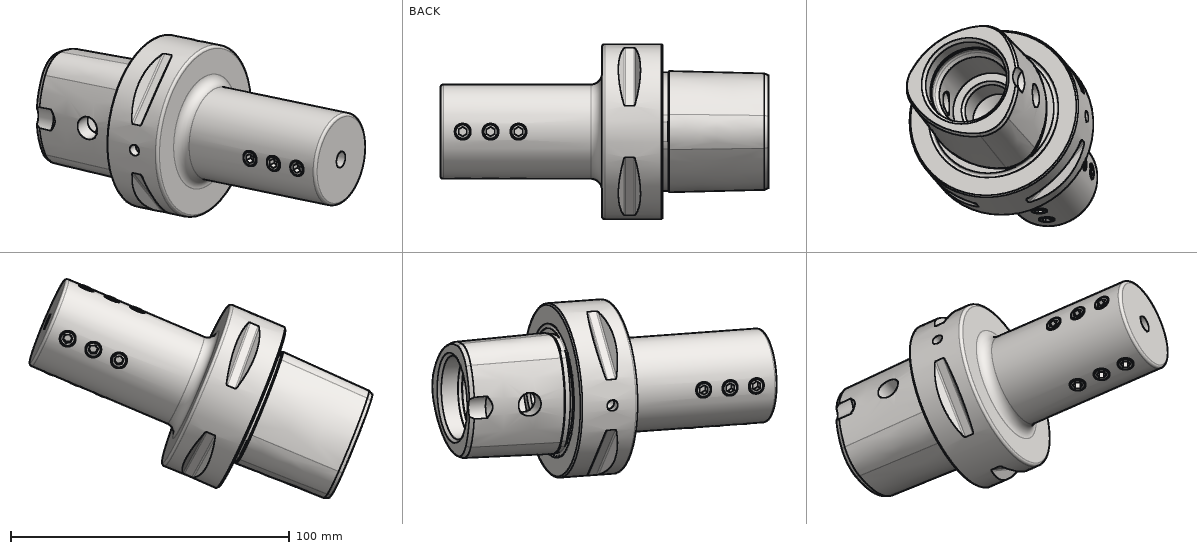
import cadquery as cq
import math


TOTAL_LENGTH = 118.0
FLANGE_START = 38.0
FLANGE_WIDTH = 22.0
FLANGE_END = FLANGE_START + FLANGE_WIDTH

POLYGON_RADIUS = 21.8
POLYGON_ECCENTRICITY = 1.4
TAPER_SLOPE = 1 / 40
TAPER_END = 35.6
SHANK_CHAMFER_LENGTH = 1.7
SHANK_CHAMFER_DEPTH = 0.7
NECK_STEP = 0.5
HALF_ARC_ANGLE = 30
LOBE_DIRECTIONS = (0, 120, 240)

FLANGE_RADIUS = 31.5
FLANGE_CHAMFER = 0.6
FLANGE_EDGE_FILLET = 1.1

RELIEF_START = 36.3
RELIEF_INNER_RADIUS = 22.5
RELIEF_OUTER_RADIUS = 24.2
RELIEF_ROUND_RADIUS = (RELIEF_OUTER_RADIUS - RELIEF_INNER_RADIUS) / 2

BARREL_RADIUS = 17.0
BARREL_ROOT_FILLET = 4.0
BARREL_EDGE_FILLET = 1.1

MOUTH_CHAMFER = 1.2
MOUTH_RADIUS = 15.1
BORE_GROOVE_START = 7.5
BORE_GROOVE_END = 9.2
BORE_GROOVE_DEPTH = 0.6
SHOULDER_X = 11.3
SHOULDER_ANGLE = 45
SHOULDER_FILLET = 1.7
CAVITY_RADIUS = 13.3
CAVITY_END = 31.9
DRAWBAR_RADIUS = 9.2
DRAWBAR_CHAMFER = 1.1
DRAWBAR_END = 43.7
COOLANT_RADIUS = 3.0

DRILL_HALF_ANGLE = 59
CROSS_HOLE_X = 22.5
CROSS_HOLE_RADIUS = 4.2
CROSS_HOLE_END_Y = CAVITY_RADIUS
NOTCH_RADIUS = 5.7
NOTCH_INNER_REACH = 17.7
NOTCH_LENGTH = 6.5
NOTCH_TIP_HALF_ANGLE = 45
FLANGE_FEATURE_X = FLANGE_START + 12.0
FLANGE_HOLE_RADIUS = 2.0
FLANGE_HOLE_DEPTH = 4.0
SLOT_FLOOR_DISTANCE = 27.8
SLOT_FLOOR_WIDTH = 3.8
SLOT_WALL_ANGLE = 30
SLOT_CORNER_FILLET = 0.7
SLOT_ANGLES = (45, 135, 225, 315)

SCREW_RADIUS = 3.0
SCREW_END_RADIUS = 2.5
SCREW_CHAMFER_LENGTH = 0.2
SCREW_LENGTH = 8.0
SOCKET_FLATS = 3.0
SOCKET_DEPTH = 3.0
SCREW_PITCH = 10.0
LAST_SCREW_INSET = 8.0
SCREWS_PER_ROW = 3
SCREW_XS = [TOTAL_LENGTH - LAST_SCREW_INSET - i * SCREW_PITCH for i in range(SCREWS_PER_ROW)]
SCREW_ROW_ANGLES = (0, 90, 180)


def polar_yz(radius, degrees, centre=(0, 0)):
    """Point in the YZ plane at an angle measured from +Y towards +Z."""
    angle = math.radians(degrees)
    return (centre[0] + radius * math.cos(angle), centre[1] + radius * math.sin(angle))


def polygon_wire(x, half_width):
    """Six tangent arcs: each small lobe arc shares its centre with the large arc opposite."""
    centre_distance = POLYGON_ECCENTRICITY / (1 - math.cos(math.radians(HALF_ARC_ANGLE)))
    lobe_radius = half_width + POLYGON_ECCENTRICITY - centre_distance
    flank_radius = 2 * half_width - lobe_radius
    sketch = cq.Workplane("YZ", origin=(x, 0, 0))
    centre = polar_yz(centre_distance, 0)
    sketch = sketch.moveTo(*polar_yz(lobe_radius, -HALF_ARC_ANGLE, centre))
    for lobe in LOBE_DIRECTIONS:
        centre = polar_yz(centre_distance, lobe)
        sketch = sketch.threePointArc(
            polar_yz(lobe_radius, lobe, centre),
            polar_yz(lobe_radius, lobe + HALF_ARC_ANGLE, centre),
        )
        flank = lobe + 2 * HALF_ARC_ANGLE
        centre = polar_yz(centre_distance, flank + 180)
        sketch = sketch.threePointArc(
            polar_yz(flank_radius, flank, centre),
            polar_yz(flank_radius, flank + HALF_ARC_ANGLE, centre),
        )
    return sketch.close().val()


def revolve_about_x(sketch):
    return sketch.close().revolve(360, (0, 0, 0), (1, 0, 0))


def drill(radius, length, tip_half_angle):
    """Drilled hole along +Z from Z = 0, with a conical tip beyond its length."""
    tip = radius / math.tan(math.radians(tip_half_angle))
    profile = cq.Workplane("XZ").lineTo(radius, 0).lineTo(radius, length).lineTo(0, length + tip)
    return profile.close().revolve(360, (0, 0, 0), (0, 1, 0))


def make_shank():
    taper_tip = POLYGON_RADIUS - TAPER_SLOPE * (TAPER_END - SHANK_CHAMFER_LENGTH)
    neck = POLYGON_RADIUS - NECK_STEP
    sections = (
        (0, taper_tip - SHANK_CHAMFER_DEPTH),
        (SHANK_CHAMFER_LENGTH, taper_tip),
        (TAPER_END, POLYGON_RADIUS),
        (TAPER_END + NECK_STEP, neck),
        (FLANGE_END, neck),
    )
    wires = [polygon_wire(x, half_width) for x, half_width in sections]
    return cq.Workplane(cq.Solid.makeLoft(wires, True))


def make_flange_and_barrel():
    flange = cq.Workplane("YZ", origin=(FLANGE_START, 0, 0)).circle(FLANGE_RADIUS).extrude(FLANGE_WIDTH)
    flange = flange.faces("<X").edges().chamfer(FLANGE_CHAMFER)
    flange = flange.faces(">X").edges().fillet(FLANGE_EDGE_FILLET)
    barrel_length = TOTAL_LENGTH - FLANGE_END
    barrel = cq.Workplane("YZ", origin=(FLANGE_END, 0, 0)).circle(BARREL_RADIUS).extrude(barrel_length)
    barrel = barrel.faces(">X").edges().fillet(BARREL_EDGE_FILLET)
    root_radius = BARREL_RADIUS + BARREL_ROOT_FILLET
    root_end = FLANGE_END + BARREL_ROOT_FILLET
    bulge = BARREL_ROOT_FILLET * (1 - math.sqrt(0.5))
    root = revolve_about_x(
        cq.Workplane("XY")
        .moveTo(FLANGE_END, 0)
        .lineTo(FLANGE_END, root_radius)
        .threePointArc((FLANGE_END + bulge, BARREL_RADIUS + bulge), (root_end, BARREL_RADIUS))
        .lineTo(root_end, 0)
    )
    return flange.union(barrel).union(root)


def make_relief_groove():
    """Turned relief that clips the lobes and ends as a half-round groove in the flange face."""
    return revolve_about_x(
        cq.Workplane("XY")
        .moveTo(RELIEF_START, RELIEF_INNER_RADIUS)
        .lineTo(FLANGE_START, RELIEF_INNER_RADIUS)
        .threePointArc(
            (FLANGE_START + RELIEF_ROUND_RADIUS, RELIEF_INNER_RADIUS + RELIEF_ROUND_RADIUS),
            (FLANGE_START, RELIEF_OUTER_RADIUS),
        )
        .lineTo(RELIEF_START, RELIEF_OUTER_RADIUS)
    )


def make_bore():
    """Mouth with a clamping groove, a filleted shoulder, a plain cavity and the drawbar and coolant holes."""
    groove_radius = MOUTH_RADIUS + BORE_GROOVE_DEPTH
    shoulder_slope = math.radians(SHOULDER_ANGLE)
    fillet_start_x = SHOULDER_X - SHOULDER_FILLET * math.tan(shoulder_slope / 2)
    fillet_centre_radius = MOUTH_RADIUS - SHOULDER_FILLET

    def fillet_point(angle):
        return (
            fillet_start_x + SHOULDER_FILLET * math.sin(angle),
            fillet_centre_radius + SHOULDER_FILLET * math.cos(angle),
        )

    shoulder_end_x = SHOULDER_X + (MOUTH_RADIUS - CAVITY_RADIUS) / math.tan(shoulder_slope)
    point_length = (DRAWBAR_RADIUS - COOLANT_RADIUS) / math.tan(math.radians(DRILL_HALF_ANGLE))
    return revolve_about_x(
        cq.Workplane("XY")
        .lineTo(0, MOUTH_RADIUS + MOUTH_CHAMFER)
        .lineTo(MOUTH_CHAMFER, MOUTH_RADIUS)
        .lineTo(BORE_GROOVE_START, MOUTH_RADIUS)
        .lineTo(BORE_GROOVE_START, groove_radius)
        .lineTo(BORE_GROOVE_END, groove_radius)
        .lineTo(BORE_GROOVE_END, MOUTH_RADIUS)
        .lineTo(fillet_start_x, MOUTH_RADIUS)
        .threePointArc(fillet_point(shoulder_slope / 2), fillet_point(shoulder_slope))
        .lineTo(shoulder_end_x, CAVITY_RADIUS)
        .lineTo(CAVITY_END, CAVITY_RADIUS)
        .lineTo(CAVITY_END, DRAWBAR_RADIUS + DRAWBAR_CHAMFER)
        .lineTo(CAVITY_END + DRAWBAR_CHAMFER, DRAWBAR_RADIUS)
        .lineTo(DRAWBAR_END, DRAWBAR_RADIUS)
        .lineTo(DRAWBAR_END + point_length, COOLANT_RADIUS)
        .lineTo(TOTAL_LENGTH, COOLANT_RADIUS)
        .lineTo(TOTAL_LENGTH, 0)
    )


def make_cross_hole():
    """Hole drilled from the -Y flank through the cavity, ending as a cone in the far wall."""
    hole = drill(CROSS_HOLE_RADIUS, POLYGON_RADIUS + CROSS_HOLE_END_Y, DRILL_HALF_ANGLE)
    return hole.rotate((0, 0, 0), (1, 0, 0), -90).translate((CROSS_HOLE_X, -POLYGON_RADIUS, 0))


def make_end_notch():
    """Notch along X in the -Y flank, open at the end of the shank."""
    notch = drill(NOTCH_RADIUS, NOTCH_LENGTH, NOTCH_TIP_HALF_ANGLE)
    return notch.rotate((0, 0, 0), (0, 1, 0), 90).translate((0, -NOTCH_INNER_REACH - NOTCH_RADIUS, 0))


def make_flange_hole():
    """Small blind hole in the -Y side of the flange."""
    hole = drill(FLANGE_HOLE_RADIUS, FLANGE_HOLE_DEPTH, DRILL_HALF_ANGLE)
    return hole.rotate((0, 0, 0), (1, 0, 0), -90).translate((FLANGE_FEATURE_X, -FLANGE_RADIUS, 0))


def make_gripper_slot(angle):
    """Straight slot with flared walls across the rim of the flange."""
    height = FLANGE_RADIUS - SLOT_FLOOR_DISTANCE
    half_floor = SLOT_FLOOR_WIDTH / 2
    half_top = half_floor + height * math.tan(math.radians(SLOT_WALL_ANGLE))
    outline = [
        (FLANGE_FEATURE_X - half_floor, SLOT_FLOOR_DISTANCE),
        (FLANGE_FEATURE_X + half_floor, SLOT_FLOOR_DISTANCE),
        (FLANGE_FEATURE_X + half_top, FLANGE_RADIUS),
        (FLANGE_FEATURE_X - half_top, FLANGE_RADIUS),
    ]
    slot = cq.Workplane("XZ").polyline(outline).close().extrude(FLANGE_RADIUS, both=True)
    slot = slot.faces("<Z").edges("|Y").fillet(SLOT_CORNER_FILLET)
    return slot.rotate((0, 0, 0), (1, 0, 0), angle)


def place_screw(body, x, row_angle):
    """Move a body built along +Z from Z = 0 to a screw position, pointing at the axis."""
    body = body.rotate((0, 0, 0), (1, 0, 0), -90).translate((x, -BARREL_RADIUS, 0))
    return body.rotate((0, 0, 0), (1, 0, 0), row_angle)


def make_screw_blank():
    """Screw without its socket: the outer end is at Z = 0 and the screw runs along +Z."""
    profile = (
        cq.Workplane("XZ")
        .lineTo(SCREW_END_RADIUS, 0)
        .lineTo(SCREW_RADIUS, SCREW_CHAMFER_LENGTH)
        .lineTo(SCREW_RADIUS, SCREW_LENGTH)
        .lineTo(0, SCREW_LENGTH)
    )
    return profile.close().revolve(360, (0, 0, 0), (0, 1, 0))


def make_set_screw():
    """Screw with a hexagon socket that has two flats facing along the holder axis."""
    corner_diameter = SOCKET_FLATS / math.cos(math.radians(30))
    socket = cq.Workplane("XY").polygon(6, corner_diameter).extrude(SOCKET_DEPTH)
    socket = socket.rotate((0, 0, 0), (0, 0, 1), 30)
    return make_screw_blank().cut(socket)


def make_holder():
    holder = make_flange_and_barrel().union(make_shank())
    holder = holder.cut(make_relief_groove())
    holder = holder.cut(make_bore())
    holder = holder.cut(make_cross_hole())
    holder = holder.cut(make_end_notch())
    holder = holder.cut(make_flange_hole())
    for angle in SLOT_ANGLES:
        holder = holder.cut(make_gripper_slot(angle))
    for row_angle in SCREW_ROW_ANGLES:
        for x in SCREW_XS:
            holder = holder.cut(place_screw(make_screw_blank(), x, row_angle))
    return holder


holder = make_holder()

set_screws = []
for row_angle in SCREW_ROW_ANGLES:
    for x in SCREW_XS:
        set_screws.append(place_screw(make_set_screw(), x, row_angle).val())

result = cq.Compound.makeCompound([holder.val(), *set_screws])